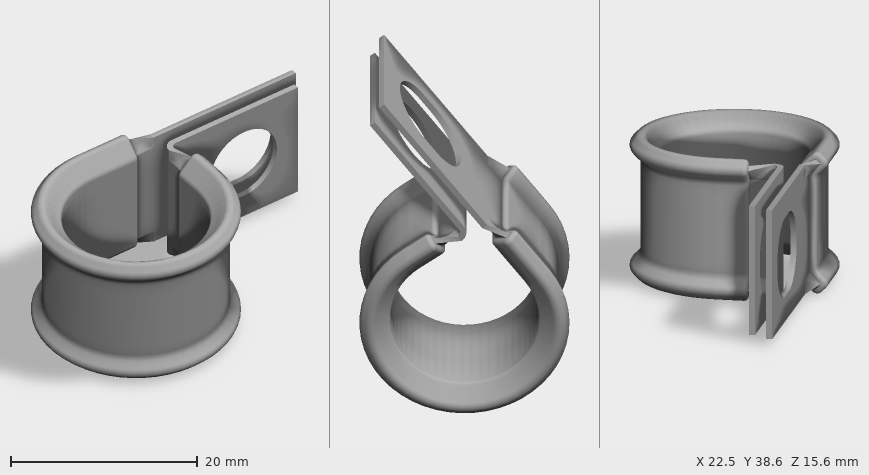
import cadquery as cq
import math

total_length = 38.62
loop_radius = 11.25
loop_half_height = 7.82

strap_thickness = 0.65
strap_half_width = 7.15
strap_inner_radius = 8.7
strap_outer_radius = strap_inner_radius + strap_thickness
cushion_thickness = 0.7
bore_radius = 7.95
waist_radius = 10.08
end_rounding = 0.5
waist_rounding = 0.8

long_leg_length = 6.18
short_leg_length = 3.48

tab_root_length = 2.47
bend_inner_radius = 0.6
bend_outer_radius = bend_inner_radius + strap_thickness
long_tab_end = total_length - loop_radius
short_tab_end = 26.15
hole_diameter = 8.73
slot_length = 11.05
hole_center = 19.0

diagonal = math.sqrt(0.5)
outer_tip_radius = loop_radius - cushion_thickness
inner_tip_radius = outer_tip_radius - strap_thickness * diagonal
inner_tip_z = loop_half_height - cushion_thickness
outer_tip_z = inner_tip_z - strap_thickness * diagonal
outer_bend_z = outer_tip_z - (outer_tip_radius - strap_outer_radius)
inner_bend_z = inner_tip_z - (inner_tip_radius - strap_inner_radius)


def cushion_section(place):
    """Closed, rounded cross-section of the cushioned strap."""
    tip_reach = cushion_thickness / diagonal
    waist_corner_z = outer_tip_z - (outer_tip_radius + tip_reach - waist_radius)
    bore_corner_z = inner_tip_z + tip_reach - (inner_tip_radius - bore_radius)
    upper = [
        (waist_radius, waist_corner_z),
        (outer_tip_radius + tip_reach, outer_tip_z),
        (inner_tip_radius, inner_tip_z + tip_reach),
        (bore_radius, bore_corner_z),
    ]
    lower = [(radius, -z) for radius, z in reversed(upper)]
    corners = [place(radius, 0, z) for radius, z in upper + lower]
    outline = cq.Wire.makePolygon(corners, close=True)
    waist_corners = [corners[0], corners[-1]]
    for corner in corners:
        rounding = waist_rounding if corner in waist_corners else cushion_thickness
        vertex = min(outline.Vertices(), key=lambda v: (v.Center() - corner).Length)
        outline = outline.fillet2D(rounding, [vertex])
    return cq.Face.makeFromWires(outline)


def on_long_leg(radius, run, z):
    return cq.Vector(-radius, run, z)


def on_short_leg(radius, run, z):
    return cq.Vector(-run, radius, z)


def cushion_leg(place, length):
    """Straight cushion piece with a rounded free end."""
    direction = place(0, length, 0)
    leg = cq.Workplane(obj=cq.Solid.extrudeLinear(cushion_section(place), direction))
    free_end = leg.faces(cq.selectors.DirectionMinMaxSelector(direction, True))
    return free_end.edges().fillet(end_rounding)


def cushion_ring():
    """Three quarters of a turn from the long leg round to the short leg."""
    section = cushion_section(on_long_leg)
    return cq.Solid.revolve(section, 270, cq.Vector(0, 0, 0), cq.Vector(0, 0, 1))


def flared_corner(place, start, side):
    """Strap edge that turns from the cushion flare to the flat tab; side is +1 or -1 along Z."""
    flared = [
        (strap_outer_radius, outer_bend_z),
        (outer_tip_radius, outer_tip_z),
        (inner_tip_radius, inner_tip_z),
        (strap_inner_radius, inner_bend_z),
        (strap_inner_radius, outer_bend_z),
    ]
    flat = [
        (strap_outer_radius, outer_bend_z),
        (strap_outer_radius, strap_half_width),
        (strap_inner_radius, strap_half_width),
        (strap_inner_radius, inner_bend_z),
        (strap_inner_radius, outer_bend_z),
    ]
    end = start + tab_root_length
    wires = [
        cq.Wire.makePolygon([place(radius, run, side * z) for radius, z in points], close=True)
        for points, run in ((flared, start), (flat, end))
    ]
    return cq.Solid.makeLoft(wires, True)


def tab_root(place, leg_length):
    """Bare strap leaving the cushion: flat middle and two flared corners, anchored in the leg."""
    anchor = leg_length - end_rounding
    corner_low = place(strap_inner_radius, anchor, -outer_bend_z)
    corner_high = place(strap_outer_radius, leg_length + tab_root_length, outer_bend_z)
    center = (corner_low + corner_high) * 0.5
    size = corner_high - corner_low
    root = cq.Workplane().box(abs(size.x), abs(size.y), abs(size.z)).translate(center)
    for side in (1, -1):
        root = root.union(cq.Workplane(obj=flared_corner(place, leg_length, side)))
    return root


def long_tab():
    """Flat tab in line with the long leg, with a slot along its length."""
    start = long_leg_length + tab_root_length
    tab = (
        cq.Workplane("XY", origin=(0, 0, -strap_half_width))
        .moveTo(-strap_outer_radius, start)
        .lineTo(-strap_inner_radius, start)
        .lineTo(-strap_inner_radius, long_tab_end)
        .lineTo(-strap_outer_radius, long_tab_end)
        .close()
        .extrude(2 * strap_half_width)
    )
    slot = (
        cq.Workplane("YZ", origin=(-strap_outer_radius, hole_center, 0))
        .slot2D(slot_length, hole_diameter)
        .extrude(strap_thickness)
    )
    return tab.cut(slot)


def short_tab():
    """Tab bent a quarter turn off the short leg, with a round hole."""
    bend_x = -(short_leg_length + tab_root_length)
    bend_y = strap_inner_radius + bend_outer_radius
    outer_x = bend_x - bend_outer_radius
    inner_x = bend_x - bend_inner_radius
    tab = (
        cq.Workplane("XY", origin=(0, 0, -strap_half_width))
        .moveTo(bend_x, strap_inner_radius)
        .lineTo(bend_x, strap_outer_radius)
        .radiusArc((inner_x, bend_y), bend_inner_radius)
        .lineTo(inner_x, short_tab_end)
        .lineTo(outer_x, short_tab_end)
        .lineTo(outer_x, bend_y)
        .radiusArc((bend_x, strap_inner_radius), -bend_outer_radius)
        .close()
        .extrude(2 * strap_half_width)
    )
    hole = (
        cq.Workplane("YZ", origin=(outer_x, hole_center, 0))
        .circle(hole_diameter / 2)
        .extrude(strap_thickness)
    )
    return tab.cut(hole)


result = (
    cq.Workplane(obj=cushion_ring())
    .union(cushion_leg(on_long_leg, long_leg_length))
    .union(cushion_leg(on_short_leg, short_leg_length))
    .union(tab_root(on_long_leg, long_leg_length))
    .union(tab_root(on_short_leg, short_leg_length))
    .union(long_tab())
    .union(short_tab())
)